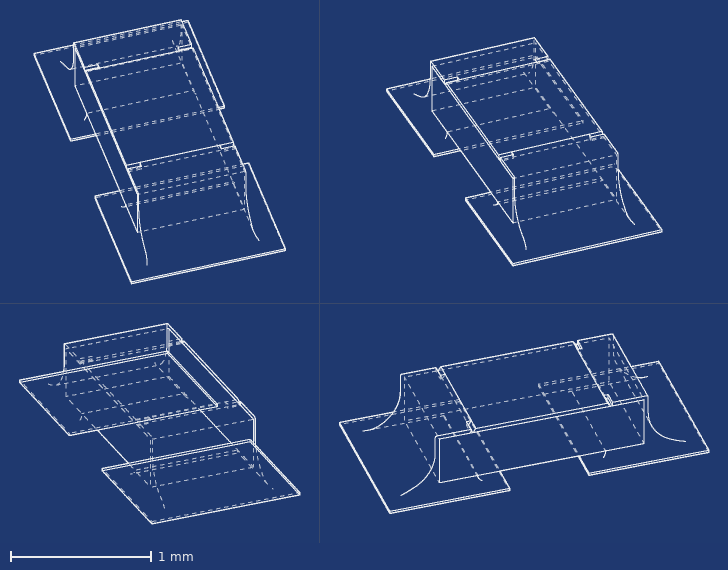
import cadquery as cq
import math

CHIP_LENGTH = 1.6
CHIP_WIDTH = 0.8
WALL = 0.03
TOP_Z = 0.47
CORE_BOTTOM_Z = 0.055
CORE_TOP_Z = TOP_Z - WALL
CORE_LENGTH = CHIP_LENGTH - 2 * WALL
TOP_EDGE_RADIUS = 0.015

COAT_TOP_LENGTH = 0.99
COAT_END_LEAN = 0.022
COAT_BOTTOM_LENGTH = COAT_TOP_LENGTH + 2 * COAT_END_LEAN

NOTCH_X = 0.533
NOTCH_WIDTH = 0.1
FOOT_INNER_X = 0.48

PAD_LENGTH = 0.902
PAD_WIDTH = 1.15
PAD_THICKNESS = 0.02
PAD_OUTER_X = 1.2
END_COVE_RADIUS = 0.3
SMALL_COVE_RADIUS = 0.03

HALF_LENGTH = CHIP_LENGTH / 2
HALF_WIDTH = CHIP_WIDTH / 2


def box_between(x_start, x_end, width, z_bottom, z_top):
    """Box between two X and two Z positions, centred on Y = 0."""
    return (
        cq.Workplane("XY")
        .box(x_end - x_start, width, z_top - z_bottom, centered=(False, True, False))
        .translate((x_start, 0, z_bottom))
    )


def cove_middle(tangent, radius, outward):
    """Midpoint of a concave arc from the pad top up to a vertical wall."""
    centre_z = PAD_THICKNESS + radius
    reach = radius * math.sqrt(0.5)
    return (tangent + outward * (radius - reach), centre_z - reach)


def make_core():
    return box_between(-CORE_LENGTH / 2, CORE_LENGTH / 2, CHIP_WIDTH, CORE_BOTTOM_Z, CORE_TOP_Z)


def make_coat():
    bottom_half = COAT_BOTTOM_LENGTH / 2
    top_half = COAT_TOP_LENGTH / 2
    return (
        cq.Workplane("XZ")
        .polyline([
            (-bottom_half, CORE_TOP_Z),
            (bottom_half, CORE_TOP_Z),
            (top_half, TOP_Z),
            (-top_half, TOP_Z),
        ])
        .close()
        .extrude(HALF_WIDTH, both=True)
    )


def terminal_side_profile():
    """Terminal outline in XZ, with a large cove at the end, swept across Y."""
    foot_inner = -FOOT_INNER_X
    half_width_with_coves = HALF_WIDTH + SMALL_COVE_RADIUS
    return (
        cq.Workplane("XZ")
        .moveTo(-HALF_LENGTH - END_COVE_RADIUS, PAD_THICKNESS)
        .threePointArc(
            cove_middle(-HALF_LENGTH, END_COVE_RADIUS, -1),
            (-HALF_LENGTH, PAD_THICKNESS + END_COVE_RADIUS),
        )
        .lineTo(-HALF_LENGTH, TOP_Z - TOP_EDGE_RADIUS)
        .radiusArc((-HALF_LENGTH + TOP_EDGE_RADIUS, TOP_Z), TOP_EDGE_RADIUS)
        .lineTo(foot_inner, TOP_Z)
        .lineTo(foot_inner, PAD_THICKNESS + SMALL_COVE_RADIUS)
        .threePointArc(
            cove_middle(foot_inner, SMALL_COVE_RADIUS, 1),
            (foot_inner + SMALL_COVE_RADIUS, PAD_THICKNESS),
        )
        .close()
        .extrude(half_width_with_coves, both=True)
    )


def terminal_end_profile():
    """Terminal outline in YZ, with a small cove along each long side, swept along X."""
    cove_top_z = PAD_THICKNESS + SMALL_COVE_RADIUS
    cove_toe = HALF_WIDTH + SMALL_COVE_RADIUS
    return (
        cq.Workplane("YZ")
        .moveTo(-cove_toe, PAD_THICKNESS)
        .threePointArc(cove_middle(-HALF_WIDTH, SMALL_COVE_RADIUS, -1), (-HALF_WIDTH, cove_top_z))
        .lineTo(-HALF_WIDTH, TOP_Z)
        .lineTo(HALF_WIDTH, TOP_Z)
        .lineTo(HALF_WIDTH, cove_top_z)
        .threePointArc(cove_middle(HALF_WIDTH, SMALL_COVE_RADIUS, 1), (cove_toe, PAD_THICKNESS))
        .close()
        .extrude(PAD_OUTER_X, both=True)
    )


def cut_notches(terminal):
    """Open the two top corners where the terminal meets the coat."""
    for side in (-1, 1):
        notch = box_between(-NOTCH_X, -FOOT_INNER_X, NOTCH_WIDTH, CORE_TOP_Z, TOP_Z)
        terminal = terminal.cut(notch.translate((0, side * (HALF_WIDTH - NOTCH_WIDTH / 2), 0)))
    return terminal


def make_terminal(core, coat):
    """Left terminal with its solder coves and pad, fitted around the core and the coat."""
    terminal = terminal_side_profile().intersect(terminal_end_profile())
    terminal = terminal.cut(core).cut(coat)
    terminal = cut_notches(terminal)
    pad = box_between(-PAD_OUTER_X, -PAD_OUTER_X + PAD_LENGTH, PAD_WIDTH, 0, PAD_THICKNESS)
    return terminal.union(pad)


core = make_core()
coat = make_coat()
left_terminal = make_terminal(core, coat)

terminals = [left_terminal.rotate((0, 0, 0), (0, 0, 1), angle) for angle in (0, 180)]

result = cq.Compound.makeCompound([
    core.val(),
    coat.val(),
    *[terminal.val() for terminal in terminals],
])